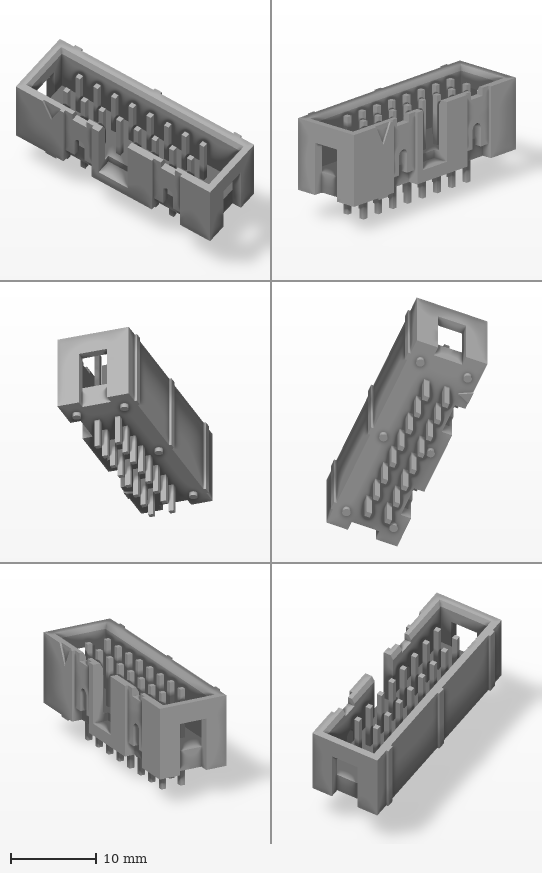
import cadquery as cq


length = 27.9
depth = 8.93
height = 8.9
front_y = -depth / 2

cavity_length = 25.5
cavity_depth = 6.33
floor_z = 2.5
mouth_flare = 0.35
mouth_flare_height = 0.65
end_wall = (length - cavity_length) / 2
side_wall = (depth - cavity_depth) / 2

pitch = 2.55
columns = 8
rows = 2
pin_size = 0.65
pin_top_z = 8.65
pin_bottom_z = -3.45
first_pin_x = -(columns - 1) * pitch / 2

end_slot_width = 3.55
end_slot_top_z = 6.47

key_width = 4.13
key_bottom_z = 1.5
key_back_y = -2.45

panel_xs = (-2 * pitch, 3 * pitch)
panel_width = 4.05
panel_recess = 0.4
panel_foot_height = 1.7
panel_slot_width = 1.4
panel_slot_top_z = 4.75
panel_notch_width = 2.05
panel_notch_depth = 1.0

mark_size = 2.5
mark_depth = 0.25
foot_mark_size = 1.55
foot_mark_height = 0.25

support_xs = (-11.45, 0.0, 11.45)
peg_diameter = 1.0
peg_height = 0.5
peg_y = 2.99
rib_width = 1.0
rib_depth = 0.28


def span_box(x_range, y_range, z_range):
    """Box between pairs of X, Y and Z limits."""
    sizes = [high - low for low, high in (x_range, y_range, z_range)]
    corner = (x_range[0], y_range[0], z_range[0])
    return cq.Workplane("XY").box(*sizes, centered=False).translate(corner)


def around(center, width):
    """Limits of a span centred on a position."""
    return (center - width / 2, center + width / 2)


def cavity():
    """Rectangular cavity widening towards its mouth."""
    well = span_box(around(0, cavity_length), around(0, cavity_depth), (floor_z, height))
    mouth = (
        cq.Workplane("XY", origin=(0, 0, height - mouth_flare_height))
        .rect(cavity_length, cavity_depth)
        .workplane(offset=mouth_flare_height)
        .rect(cavity_length + 2 * mouth_flare, cavity_depth + 2 * mouth_flare)
        .loft(ruled=True)
    )
    return well.union(mouth)


def end_slot(side):
    """Opening through an end wall, closed behind by the cavity floor."""
    center = side * (length - end_wall) / 2
    return span_box(around(center, end_wall), around(0, end_slot_width), (0, end_slot_top_z))


def latch_panel(x):
    """Shallow panel with a deep foot, a round-topped slot and a rim notch."""
    wall = (front_y, front_y + side_wall)
    slot_radius = panel_slot_width / 2
    slot_arc_z = panel_slot_top_z - slot_radius
    panel = span_box(around(x, panel_width), (front_y, front_y + panel_recess), (0, height))
    foot = span_box(around(x, panel_width), wall, (0, panel_foot_height))
    slot = span_box(around(x, panel_slot_width), wall, (0, slot_arc_z))
    slot_top = (
        cq.Workplane("XZ", origin=(x, front_y, slot_arc_z)).circle(slot_radius).extrude(-side_wall)
    )
    notch = span_box(around(x, panel_notch_width), wall, (height - panel_notch_depth, height))
    return panel.union(foot).union(slot).union(slot_top).union(notch)


def face_mark():
    """Triangle sunk into the front face, pointing down at pin one."""
    return (
        cq.Workplane("XZ", origin=(first_pin_x, front_y, height))
        .polyline([(-mark_size / 2, 0), (mark_size / 2, 0), (0, -mark_size)])
        .close()
        .extrude(-mark_depth)
    )


def foot_mark():
    """Raised triangle under the front edge, pointing inwards at pin one."""
    return (
        cq.Workplane("XY", origin=(first_pin_x, front_y, 0))
        .polyline([(-foot_mark_size / 2, 0), (foot_mark_size / 2, 0), (0, foot_mark_size)])
        .close()
        .extrude(-foot_mark_height)
    )


def pins():
    return (
        cq.Workplane("XY", origin=(0, 0, pin_bottom_z))
        .rarray(pitch, pitch, columns, rows)
        .rect(pin_size, pin_size)
        .extrude(pin_top_z - pin_bottom_z)
    )


def pegs():
    centers = [(x, y) for x in support_xs for y in (-peg_y, peg_y)]
    return cq.Workplane("XY").pushPoints(centers).circle(peg_diameter / 2).extrude(-peg_height)


housing = span_box(around(0, length), around(0, depth), (0, height)).cut(cavity())
for side in (-1, 1):
    housing = housing.cut(end_slot(side))
for panel_x in panel_xs:
    housing = housing.cut(latch_panel(panel_x))
housing = housing.cut(span_box(around(0, key_width), (front_y, key_back_y), (key_bottom_z, height)))
housing = housing.cut(face_mark())

for rib_x in support_xs:
    rib = span_box(around(rib_x, rib_width), (depth / 2, depth / 2 + rib_depth), (0, height))
    housing = housing.union(rib)

result = housing.union(foot_mark()).union(pegs()).union(pins())